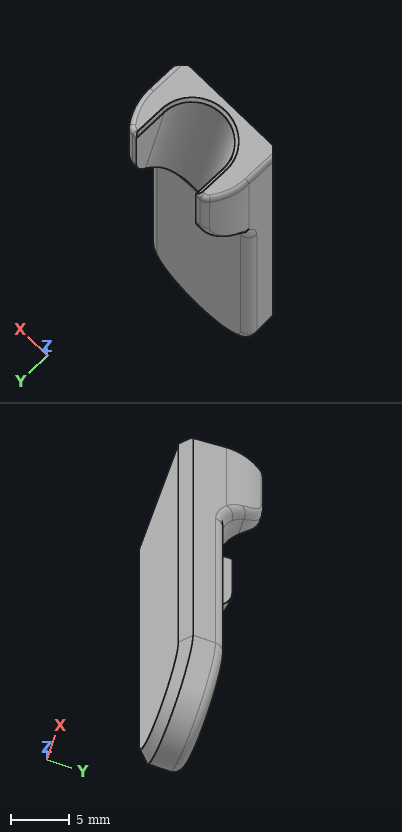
import cadquery as cq
import math

length = 61.3
width = 12.0
depth = 8.0
half_width = width / 2

handle_depth = depth / 2
step_start_z = 39.85
step_radius = 10.0

top_tilt = 10.0
channel_radius = 3.55
channel_floor_y = 1.05
channel_reach = length / 2

front_chamfer = 1.0
back_fillet = 1.0
top_fillet = 0.5
channel_chamfer = 0.3

tilt = math.radians(top_tilt)
sharp_length = length + top_fillet * (math.tan(tilt) + 1 / math.cos(tilt) - 1)
top_front_z = sharp_length - depth * math.tan(tilt)


def side_profile():
    """Depth profile, with two equal tangent arcs joining handle and head."""
    rise = depth - handle_depth
    bend = math.acos(1 - rise / (2 * step_radius))
    half_run = step_radius * math.sin(bend)
    mid_y = handle_depth + rise / 2
    mid_z = step_start_z + half_run
    head_z = mid_z + half_run
    arc_y = step_radius * (1 - math.cos(bend / 2))
    arc_z = step_radius * math.sin(bend / 2)
    return (
        cq.Workplane("YZ")
        .lineTo(handle_depth, 0)
        .lineTo(handle_depth, step_start_z)
        .threePointArc((handle_depth + arc_y, step_start_z + arc_z), (mid_y, mid_z))
        .threePointArc((depth - arc_y, head_z - arc_z), (depth, head_z))
        .lineTo(depth, sharp_length)
        .lineTo(0, top_front_z)
        .close()
        .extrude(half_width, both=True)
    )


def front_outline():
    """Straight sides closed by a semicircle at the bottom."""
    return (
        cq.Workplane("XZ")
        .moveTo(-half_width, sharp_length)
        .lineTo(-half_width, half_width)
        .threePointArc((0, 0), (half_width, half_width))
        .lineTo(half_width, sharp_length)
        .close()
        .extrude(-depth)
    )


def plan_section():
    """Square front half and a back rounded about the middle of the depth."""
    return (
        cq.Workplane("XY")
        .moveTo(-half_width, 0)
        .lineTo(half_width, 0)
        .lineTo(half_width, handle_depth)
        .threePointArc((0, handle_depth + half_width), (-half_width, handle_depth))
        .close()
        .extrude(sharp_length)
    )


def top_plane():
    """Plane of the sloping top; its local Y runs from front to back."""
    normal = (0, -math.sin(tilt), math.cos(tilt))
    return cq.Plane(origin=(0, 0, top_front_z), xDir=(1, 0, 0), normal=normal)


def channel(radius):
    """U-shaped outline on the top plane, open to the back."""
    center_y = channel_floor_y + channel_radius
    open_y = 2 * depth
    return (
        cq.Workplane(top_plane())
        .moveTo(-radius, open_y)
        .lineTo(-radius, center_y)
        .threePointArc((0, center_y - radius), (radius, center_y))
        .lineTo(radius, open_y)
        .close()
    )


body = side_profile().intersect(front_outline()).intersect(plan_section())

margin = 0.6
back_region = cq.selectors.BoxSelector(
    (-margin, handle_depth - margin, 0),
    (margin, depth + margin, top_front_z - margin),
)
body = body.faces(back_region).edges("not(|X)").fillet(back_fillet)

body = (
    body.faces(cq.selectors.DirectionNthSelector(top_plane().zDir, -1))
    .edges("not(<Y)")
    .fillet(top_fillet)
)

beveled_front = front_outline().faces("<Y").edges("not(>Z)").chamfer(front_chamfer)
body = body.intersect(beveled_front)

body = body.cut(channel(channel_radius).extrude(-channel_reach))
mouth = channel(channel_radius + channel_chamfer).extrude(-channel_chamfer, taper=45)
result = body.cut(mouth)